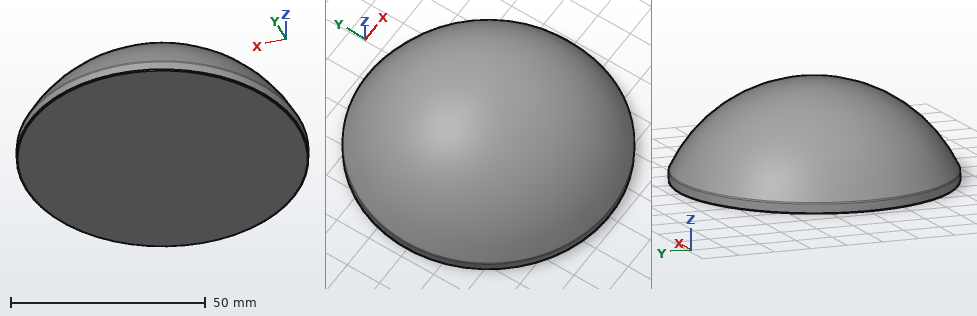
import cadquery as cq

rim_radius = 37.5
total_height = 26.85
rim_height = 2.9
rim_fillet = 1.0
bottom_chamfer = 0.3

cap_rise = total_height - rim_height
sphere_radius = (rim_radius**2 + cap_rise**2) / (2 * cap_rise)
sphere_center_z = total_height - sphere_radius

arc_mid_radius = rim_radius / 2
arc_mid_z = sphere_center_z + (sphere_radius**2 - arc_mid_radius**2) ** 0.5

half_section = (
    cq.Workplane("XZ")
    .lineTo(rim_radius, 0)
    .lineTo(rim_radius, rim_height)
    .threePointArc((arc_mid_radius, arc_mid_z), (0, total_height))
    .close()
)
dome = half_section.revolve(360, (0, 0, 0), (0, 1, 0))

dome = dome.faces("<Z").edges().chamfer(bottom_chamfer)
cap_edge = cq.selectors.BoxSelector(
    (-2 * rim_radius, -2 * rim_radius, rim_height - bottom_chamfer),
    (2 * rim_radius, 2 * rim_radius, rim_height + bottom_chamfer),
)
result = dome.edges("%CIRCLE").edges(cap_edge).fillet(rim_fillet)